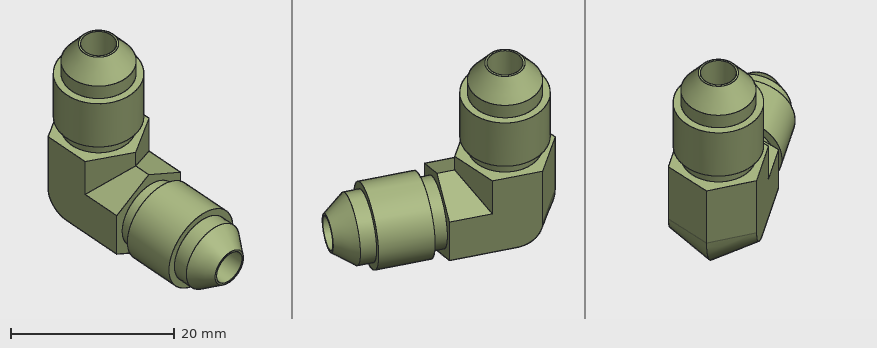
import cadquery as cq
import math

overall_length = 29.02
hex_flats = 11.11
hex_leg_end = 15.1
thread_start = 16.92
thread_end = 24.12
cone_start = 26.18
neck_diameter = 9.23
thread_diameter = hex_flats
tip_diameter = 4.93
bore_diameter = 4.4
bore_bend_radius = 4.4

hex_corners = hex_flats / math.cos(math.radians(30))
axis_offset = hex_corners / 2


def make_leg():
    """Hexagonal leg and flared tube end, running up +Z from the axis crossing."""
    hex_body = (
        cq.Workplane("XY")
        .polygon(6, hex_corners)
        .extrude(hex_leg_end - axis_offset)
    )
    neck_radius = neck_diameter / 2
    thread_radius = thread_diameter / 2
    steps = [
        (0, 0),
        (neck_radius, 0),
        (neck_radius, thread_start - axis_offset),
        (thread_radius, thread_start - axis_offset),
        (thread_radius, thread_end - axis_offset),
        (neck_radius, thread_end - axis_offset),
        (neck_radius, cone_start - axis_offset),
        (tip_diameter / 2, overall_length - axis_offset),
        (0, overall_length - axis_offset),
    ]
    tube_end = cq.Workplane("XZ").polyline(steps).close().revolve(360, (0, 0), (0, 1))
    return hex_body.union(tube_end)


def make_bore():
    """Constant-diameter passage from tip to tip, with a quarter-circle bend."""
    run = overall_length - axis_offset
    bend_middle = bore_bend_radius * (1 - math.sqrt(0.5))
    centre_line = (
        cq.Workplane("XZ")
        .moveTo(0, run)
        .lineTo(0, bore_bend_radius)
        .threePointArc((bend_middle, bend_middle), (bore_bend_radius, 0))
        .lineTo(run, 0)
    )
    return cq.Workplane("XY", origin=(0, 0, run)).circle(bore_diameter / 2).sweep(centre_line)


def make_heel():
    """Rounded outer bend: half the hexagon turned about the Y axis."""
    half_hexagon = [
        (0, -hex_flats / 2),
        (hex_corners / 4, -hex_flats / 2),
        (hex_corners / 2, 0),
        (hex_corners / 4, hex_flats / 2),
        (0, hex_flats / 2),
    ]
    return cq.Workplane("XY").polyline(half_hexagon).close().revolve(360, (0, 0), (0, 1))


def turn_to_x(shape):
    """Turn a +Z leg so that it runs along +X."""
    return shape.rotate((0, 0, 0), (0, 1, 0), 90)


leg = make_leg()
elbow = make_heel().union(leg).union(turn_to_x(leg))
elbow = elbow.cut(make_bore())
result = elbow.translate((axis_offset, 0, axis_offset))